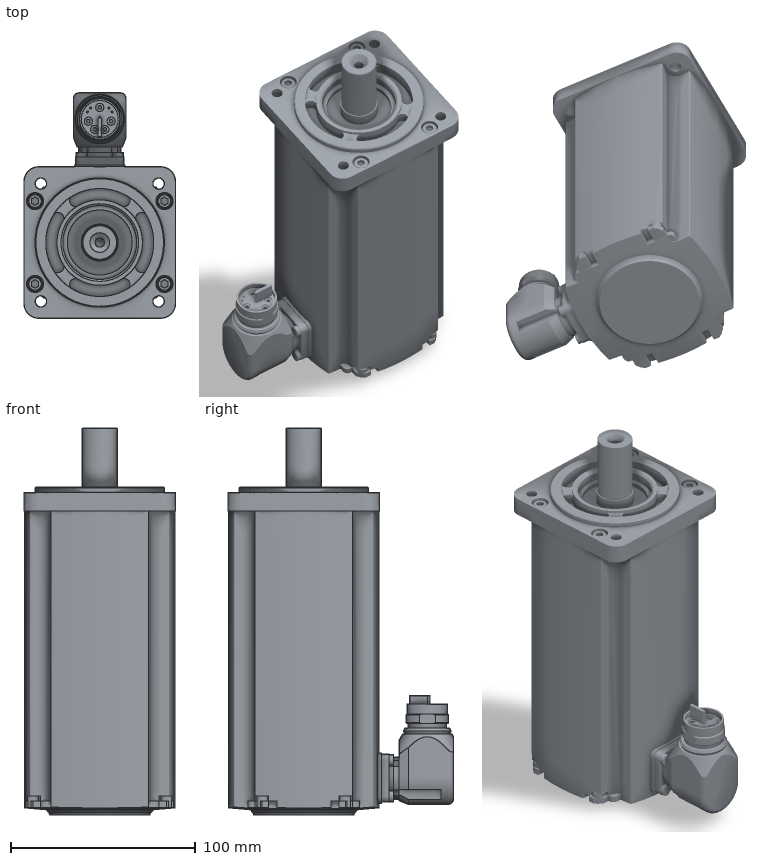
import cadquery as cq
import math


flange_width = 82.0
flange_thickness = 10.0
flange_corner_radius = 8.0
mount_hole_diameter = 6.0
mount_circle_diameter = 90.0
pilot_diameter = 70.0
pilot_height = 3.0
pilot_chamfer = 0.5

groove_outer_diameter = 58.4
groove_inner_radius = 23.1
slot_depth = 7.0
bridge_drop = 1.4
bridge_count = 4
bridge_end_half_angle = 14.7
bridge_waist_half_angle = 8.0
bridge_overlap = 0.3
bore_diameter = 40.0
bore_chamfer = 1.0
bore_depth = 5.5
seal_diameter = 35.2
seal_depth = 8.0

shaft_diameter = 19.0
shaft_length = 35.0
shaft_collar_diameter = 20.0
collar_depth = 1.5
shaft_chamfer = 0.4
center_mouth_diameter = 10.6
center_mouth_chamfer = 0.4
center_hole_diameter = 5.1
center_cone_half_angle = 42.0
center_hole_depth = 18.0

screw_x = 35.0
screw_y = 22.4
screw_recess_diameter = 9.2
screw_recess_depth = 3.0
screw_head_diameter = 8.0
screw_head_drop = 0.8
screw_head_chamfer = 0.6
screw_socket_size = 4.0
screw_socket_depth = 2.0

housing_reach = 40.75
plate_half_width = 26.4
plate_edge_reach = 37.6
plate_edge_radius = 0.8
notch_radius = 4.3
selection_margin = 0.1
rear_length = 174.4
cone_corner_radius = 46.0
cone_corner_z = -170.0
rear_boss_radius = 29.0
rear_boss_z = -171.5
rear_face_radius = 27.0
rear_lip_z = -173.0
rear_lip_radius = 27.6

ear_x_inner = 32.1
ear_x_outer = 39.8
ear_y_inner = 19.1
ear_y_outer = 30.2
ear_top_z = -166.8
ear_bottom_z = -170.2
lobe_fillet = 3.0
ear_chamfer = 3.8
ear_relief_y = 14.6
nut_x = 36.1
nut_diameter = 6.0
nut_top_z = -164.1

connector_y = 66.8
connector_z = -154.4
gasket_size = 27.4
gasket_end_y = 42.0
base_size = 26.0
base_corner_radius = 3.0
base_end_y = 46.2
base_screw_offset = 9.8
base_screw_diameter = 6.0
base_screw_height = 2.4
base_screw_clearance_radius = 3.4
neck_diameter = 22.9
neck_foot_diameter = 21.55
elbow_inner_y = 51.6
elbow_outer_y = 81.0
elbow_half_width = 14.2
elbow_taper_length = 5.0
elbow_taper_depth = 2.0
elbow_end_fillet = 3.2
elbow_top_z = -130.6
elbow_cone_top_radius = 13.4
elbow_cone_half_angle = 29.0
step_x = 8.3
step_drop = 6.2
step_end_y = 74.3
collar_radius = 10.5
ring_radius = 12.9
ring_neck_radius = 12.1
ring_z = -128.9
ring_top_z = -127.4
nut_bottom_z = -124.9
nut_top_face_z = -119.7
union_diameter = 23.1
union_flats = 21.4
union_chamfer = 0.5
shell_diameter = 21.95
shell_bore_diameter = 20.0
shell_top_z = -114.3
insert_top_z = -117.5
key_top_z = -109.7
key_start_y = 57.3
key_end_y = 68.3
key_width = 1.7
key_point_length = 1.5
power_recess_diameter = 4.4
power_recess_depth = 0.5
power_hole_diameter = 1.99
power_circle_radius = 6.3
power_angles = (90, -11, -64, -116, -169)
signal_hole_diameter = 0.99
signal_circle_radius = 7.7
signal_angles = (30, 50, 130, 150)
contact_depth = 2.0

pilot_z = pilot_height
housing_top_z = -flange_thickness


def cylinder(diameter, z_bottom, z_top, x=0, y=0):
    """Vertical cylinder between two heights."""
    return cq.Workplane("XY", origin=(x, y, z_bottom)).circle(diameter / 2).extrude(z_top - z_bottom)


def revolve_z(points, y=0):
    """Solid of revolution about a vertical axis from (radius, z) points."""
    return cq.Workplane("XZ", origin=(0, y, 0)).polyline(points).close().revolve(360, (0, 0), (0, 1))


def four_corners(x, y):
    """Points mirrored into all four quarters."""
    return [(sx * x, sy * y) for sx in (-1, 1) for sy in (-1, 1)]


def at(radius, degrees):
    """Point in the XY plane at a radius and an angle."""
    return (radius * math.cos(math.radians(degrees)), radius * math.sin(math.radians(degrees)))


def make_flange():
    """Square flange with rounded corners, round pilot and four mounting holes."""
    flange = (
        cq.Workplane("XY", origin=(0, 0, housing_top_z))
        .rect(flange_width, flange_width)
        .extrude(flange_thickness)
        .edges("|Z")
        .fillet(flange_corner_radius)
    )
    pilot = cylinder(pilot_diameter, housing_top_z, pilot_z).faces(">Z").chamfer(pilot_chamfer)
    hole_offset = mount_circle_diameter / 2 / math.sqrt(2)
    holes = (
        cq.Workplane("XY", origin=(0, 0, housing_top_z))
        .pushPoints(four_corners(hole_offset, hole_offset))
        .circle(mount_hole_diameter / 2)
        .extrude(flange_thickness)
    )
    return flange.union(pilot).cut(holes)


def make_bridge(angle):
    """Web across the groove with concave sides, its ends sunk into both groove walls."""
    outer = groove_outer_diameter / 2 + bridge_overlap
    inner = groove_inner_radius - bridge_overlap
    middle = (outer + inner) / 2
    left_edge = angle + bridge_end_half_angle
    right_edge = angle - bridge_end_half_angle
    return (
        cq.Workplane("XY", origin=(0, 0, pilot_z - slot_depth - bridge_overlap))
        .moveTo(*at(outer, right_edge))
        .threePointArc(at(outer, angle), at(outer, left_edge))
        .threePointArc(at(middle, angle + bridge_waist_half_angle), at(inner, left_edge))
        .threePointArc(at(inner, angle), at(inner, right_edge))
        .threePointArc(at(middle, angle - bridge_waist_half_angle), at(outer, right_edge))
        .close()
        .extrude(slot_depth + bridge_overlap - bridge_drop)
    )


def cut_front_recesses(body):
    """Ring groove interrupted by bridges, and the stepped bore around the shaft."""
    groove = cylinder(groove_outer_diameter, pilot_z - slot_depth, pilot_z)
    body = body.cut(groove.cut(cylinder(2 * groove_inner_radius, pilot_z - slot_depth, pilot_z)))
    for index in range(bridge_count):
        body = body.union(make_bridge((index + 0.5) * 360 / bridge_count))
    bore = revolve_z(
        [
            (0, pilot_z),
            (bore_diameter / 2 + bore_chamfer, pilot_z),
            (bore_diameter / 2, pilot_z - bore_chamfer),
            (bore_diameter / 2, pilot_z - bore_depth),
            (seal_diameter / 2, pilot_z - bore_depth),
            (seal_diameter / 2, pilot_z - seal_depth),
            (0, pilot_z - seal_depth),
        ]
    )
    return body.cut(bore)


def make_shaft():
    """Shaft with a collar at its foot and a centre hole in its end."""
    collar = cylinder(shaft_collar_diameter, pilot_z - seal_depth, pilot_z - collar_depth)
    shaft = cylinder(shaft_diameter, pilot_z - seal_depth, shaft_length)
    shaft = shaft.faces(">Z").chamfer(shaft_chamfer).union(collar)
    mouth_radius = center_mouth_diameter / 2
    cone_radius = mouth_radius - center_mouth_chamfer
    hole_radius = center_hole_diameter / 2
    cone_slope = math.tan(math.radians(center_cone_half_angle))
    cone_depth = center_mouth_chamfer + (cone_radius - hole_radius) / cone_slope
    center_hole = revolve_z(
        [
            (0, shaft_length),
            (mouth_radius, shaft_length),
            (cone_radius, shaft_length - center_mouth_chamfer),
            (hole_radius, shaft_length - cone_depth),
            (hole_radius, shaft_length - center_hole_depth),
            (0, shaft_length - center_hole_depth - hole_radius),
        ]
    )
    return shaft.cut(center_hole)


def add_flange_screws(body):
    """Socket head screws sunk into the flange face."""
    for x, y in four_corners(screw_x, screw_y):
        recess = cylinder(screw_recess_diameter, -screw_recess_depth, 0, x, y)
        head = cylinder(screw_head_diameter, -screw_recess_depth, -screw_head_drop, x, y)
        head = head.faces(">Z").chamfer(screw_head_chamfer)
        socket = (
            cq.Workplane("XY", origin=(x, y, -screw_head_drop))
            .polygon(6, screw_socket_size, circumscribed=True)
            .extrude(-screw_socket_depth)
        )
        body = body.cut(recess).union(head.cut(socket))
    return body


def make_plate(angle):
    """Bulged housing plate reaching from the axis to one side."""
    return (
        cq.Workplane("XY", origin=(0, 0, -rear_length))
        .moveTo(-plate_half_width, 0)
        .lineTo(-plate_half_width, plate_edge_reach)
        .threePointArc((0, housing_reach), (plate_half_width, plate_edge_reach))
        .lineTo(plate_half_width, 0)
        .close()
        .extrude(rear_length - flange_thickness)
        .edges("|Z")
        .edges(">Y")
        .fillet(plate_edge_radius)
        .rotate((0, 0, 0), (0, 0, 1), angle)
    )


def make_housing():
    """Four bulged plates in a cross, with rounded inner corners and a conical rear end."""
    housing = make_plate(0)
    for angle in (90, 180, 270):
        housing = housing.union(make_plate(angle))
    inner = plate_half_width + selection_margin
    corner_box = cq.selectors.BoxSelector((-inner, -inner, -rear_length), (inner, inner, 0))
    housing = housing.edges(corner_box).edges("|Z").fillet(notch_radius)
    envelope = revolve_z(
        [
            (0, housing_top_z),
            (flange_width, housing_top_z),
            (flange_width, cone_corner_z),
            (cone_corner_radius, cone_corner_z),
            (rear_boss_radius, rear_boss_z),
            (rear_lip_radius, rear_lip_z),
            (rear_face_radius, -rear_length),
            (0, -rear_length),
        ]
    )
    return housing.intersect(envelope)


def corner_block(x_inner, x_outer, y_inner, y_outer, z_bottom, z_top):
    """Block in the +X +Y quarter."""
    return (
        cq.Workplane("XY", origin=((x_inner + x_outer) / 2, (y_inner + y_outer) / 2, z_bottom))
        .rect(x_outer - x_inner, y_outer - y_inner)
        .extrude(z_top - z_bottom)
    )


def add_rear_ears(body):
    """Pocket, ear with a rounded lobe, and nut at each rear corner of the X plates."""
    reach = flange_width / 2
    edge = plate_half_width
    relief = corner_block(ear_x_inner, reach, ear_relief_y, edge, -rear_length, ear_top_z)
    nut_pocket = corner_block(ear_x_inner, reach, ear_y_inner, edge, ear_top_z, nut_top_z)
    pocket = relief.union(nut_pocket)
    ear = corner_block(ear_x_inner, ear_x_outer, ear_y_inner, edge, ear_bottom_z, ear_top_z)
    ear = ear.edges("|Z").edges(">(1,1,0)").chamfer(ear_chamfer)
    lobe = corner_block(edge, ear_x_inner, edge, ear_y_outer, ear_bottom_z, ear_top_z)
    lobe = lobe.edges("|Z").edges(">(1,1,0)").fillet(lobe_fillet)
    nut = cylinder(nut_diameter, ear_bottom_z, nut_top_z, nut_x, screw_y)
    ear = ear.union(lobe).union(nut)
    for mirrors in ((), ("YZ",), ("XZ",), ("YZ", "XZ")):
        placed_pocket = pocket
        placed_ear = ear
        for plane in mirrors:
            placed_pocket = placed_pocket.mirror(plane)
            placed_ear = placed_ear.mirror(plane)
        body = body.cut(placed_pocket).union(placed_ear)
    return body


def facing_y(y):
    """Plane facing +Y at the connector height (local x runs along -X, local y up)."""
    return cq.Workplane(cq.Plane((0, y, connector_z), xDir=(-1, 0, 0), normal=(0, 1, 0)))


def make_connector_base():
    """Gasket, square base with four screws, and the stepped neck."""
    start_y = plate_half_width
    gasket_radius = base_corner_radius + (gasket_size - base_size) / 2
    gasket = facing_y(start_y).rect(gasket_size, gasket_size).extrude(gasket_end_y - start_y)
    gasket = gasket.edges("|Y").fillet(gasket_radius)
    base = facing_y(start_y).rect(base_size, base_size).extrude(base_end_y - start_y)
    base = base.edges("|Y").fillet(base_corner_radius)
    corners = four_corners(base_screw_offset, base_screw_offset)
    neck = facing_y(base_end_y).circle(neck_diameter / 2).extrude(elbow_inner_y - base_end_y)
    foot_ring = facing_y(base_end_y).circle(neck_diameter / 2).circle(neck_foot_diameter / 2)
    neck = neck.cut(foot_ring.extrude(base_screw_height))
    clearance = (
        facing_y(base_end_y)
        .pushPoints(corners)
        .circle(base_screw_clearance_radius)
        .extrude(elbow_inner_y - base_end_y)
    )
    screws = (
        facing_y(base_end_y)
        .pushPoints(corners)
        .circle(base_screw_diameter / 2)
        .extrude(base_screw_height)
    )
    return gasket.union(base).union(neck.cut(clearance)).union(screws)


def elbow_profile(height):
    """Half outline of the elbow in the horizontal plane at the given height, on the +X side."""
    bevel = elbow_end_fillet * (1 - math.sqrt(0.5))
    return (
        cq.Workplane("XY", origin=(0, 0, height))
        .moveTo(0, elbow_inner_y)
        .lineTo(elbow_half_width - elbow_taper_depth, elbow_inner_y)
        .lineTo(elbow_half_width, elbow_inner_y + elbow_taper_length)
        .lineTo(elbow_half_width, elbow_outer_y - elbow_end_fillet)
        .threePointArc(
            (elbow_half_width - bevel, elbow_outer_y - bevel),
            (elbow_half_width - elbow_end_fillet, elbow_outer_y),
        )
        .lineTo(0, elbow_outer_y)
        .close()
    )


def make_elbow():
    """Round below the connector axis, square above, coned at the top, stepped along the lower sides."""
    half = elbow_profile(connector_z).extrude(elbow_top_z - connector_z)
    square = half.union(half.mirror("YZ"))
    slope = math.tan(math.radians(elbow_cone_half_angle))
    cone_bottom_radius = elbow_cone_top_radius + slope * (elbow_top_z - connector_z)
    cone = revolve_z(
        [
            (0, elbow_top_z),
            (elbow_cone_top_radius, elbow_top_z),
            (cone_bottom_radius, connector_z),
            (0, connector_z),
        ],
        connector_y,
    )
    barrel = elbow_profile(connector_z).revolve(360, (0, 0), (0, 1))
    elbow = square.intersect(cone).union(barrel)
    barrel_radius = elbow_half_width
    for side in (-1, 1):
        step = (
            cq.Workplane("XY", origin=(side * (step_x + barrel_radius / 2), 0, connector_z - step_drop))
            .moveTo(0, (elbow_inner_y + step_end_y) / 2)
            .rect(barrel_radius, step_end_y - elbow_inner_y)
            .extrude(-barrel_radius)
        )
        elbow = elbow.cut(step)
    return elbow


def make_plug():
    """Turned rings, union nut with two flats, shell and contact insert above the elbow."""
    rings = revolve_z(
        [
            (0, elbow_top_z),
            (ring_neck_radius, elbow_top_z),
            (ring_radius, ring_z),
            (ring_neck_radius, ring_top_z),
            (collar_radius, ring_top_z),
            (collar_radius, nut_bottom_z),
            (0, nut_bottom_z),
        ],
        connector_y,
    )
    union_nut = cylinder(union_diameter, nut_bottom_z, nut_top_face_z, 0, connector_y)
    flats = (
        cq.Workplane("XY", origin=(0, connector_y, nut_bottom_z))
        .rect(union_flats, union_diameter)
        .extrude(nut_top_face_z - nut_bottom_z)
    )
    union_nut = union_nut.faces("|Z").chamfer(union_chamfer).intersect(flats)
    shell = cylinder(shell_diameter, nut_top_face_z, shell_top_z, 0, connector_y)
    cavity = cylinder(shell_bore_diameter, insert_top_z, shell_top_z, 0, connector_y)
    plug = rings.union(union_nut).union(shell.cut(cavity))
    return cut_contacts(plug).union(make_key())


def contact_point(radius, degrees):
    """Point on a circle about the plug axis."""
    x, y = at(radius, degrees)
    return (x, connector_y + y)


def cut_contacts(plug):
    """Recessed power holes and plain signal holes."""
    floor_z = insert_top_z - contact_depth
    for angle in power_angles:
        x, y = contact_point(power_circle_radius, angle)
        recess = cylinder(power_recess_diameter, insert_top_z - power_recess_depth, insert_top_z, x, y)
        hole = cylinder(power_hole_diameter, floor_z, insert_top_z, x, y)
        plug = plug.cut(recess).cut(hole)
    for angle in signal_angles:
        x, y = contact_point(signal_circle_radius, angle)
        plug = plug.cut(cylinder(signal_hole_diameter, floor_z, insert_top_z, x, y))
    return plug


def make_key():
    """Pointed rib standing above the contact insert."""
    half = key_width / 2
    return (
        cq.Workplane("XY", origin=(0, 0, insert_top_z))
        .polyline(
            [
                (-half, key_start_y),
                (half, key_start_y),
                (half, key_end_y - key_point_length),
                (0, key_end_y),
                (-half, key_end_y - key_point_length),
            ]
        )
        .close()
        .extrude(key_top_z - insert_top_z)
    )


body = add_flange_screws(cut_front_recesses(make_flange().union(make_housing())))
body = add_rear_ears(body).union(make_shaft())
connector = make_connector_base().union(make_elbow()).union(make_plug())
result = body.union(connector)